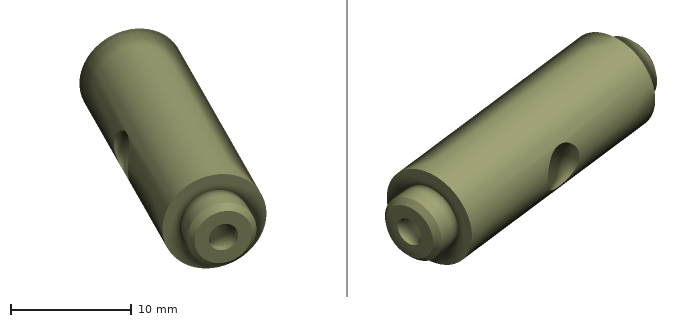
import cadquery as cq
import math

total_length = 30.0
body_length = 24.65
body_diameter = 9.0
journal_diameter = 6.0
journal_chamfer = 0.5

cross_hole_diameter = 4.23
end_hole_diameter = 2.52
end_hole_depth = 6.0
drill_point_angle = 118.0


def x_cylinder(diameter, length):
    """Cylinder along X, centred on the origin."""
    return cq.Workplane("YZ").circle(diameter / 2).extrude(length / 2, both=True)


def end_hole():
    """Blind drilled hole with a conical bottom, entering from the -X end."""
    radius = end_hole_diameter / 2
    point_depth = radius / math.tan(math.radians(drill_point_angle / 2))
    mouth = -total_length / 2
    bottom = mouth + end_hole_depth
    return (
        cq.Workplane("XY")
        .moveTo(mouth, 0)
        .lineTo(mouth, radius)
        .lineTo(bottom, radius)
        .lineTo(bottom + point_depth, 0)
        .close()
        .revolve(360, (0, 0, 0), (1, 0, 0))
    )


journals = x_cylinder(journal_diameter, total_length).faces("<X or >X").chamfer(journal_chamfer)
pin = x_cylinder(body_diameter, body_length).union(journals)

cross_hole = cq.Workplane("XZ").circle(cross_hole_diameter / 2).extrude(body_diameter, both=True)

near_hole = end_hole()
far_hole = near_hole.mirror("YZ")

result = pin.cut(cross_hole).cut(near_hole).cut(far_hole)